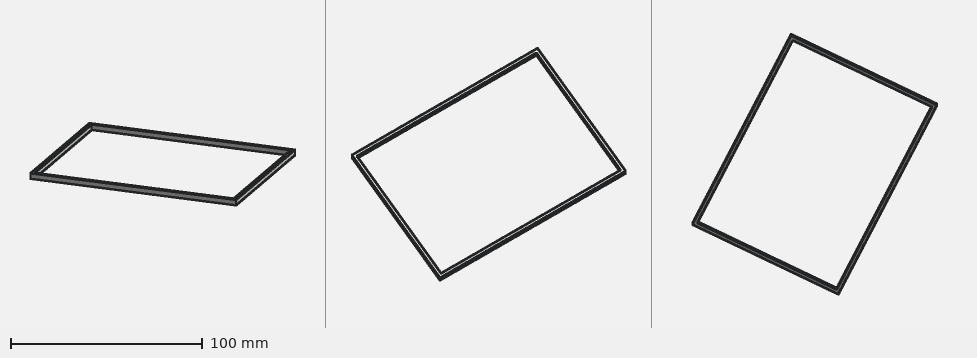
import cadquery as cq

length = 115.0
width = 85.0
height = 3.0

wall = 2.0

outer = cq.Workplane("XY").box(length, width, height)
opening = cq.Workplane("XY").box(length - 2 * wall, width - 2 * wall, height)

result = outer.cut(opening)